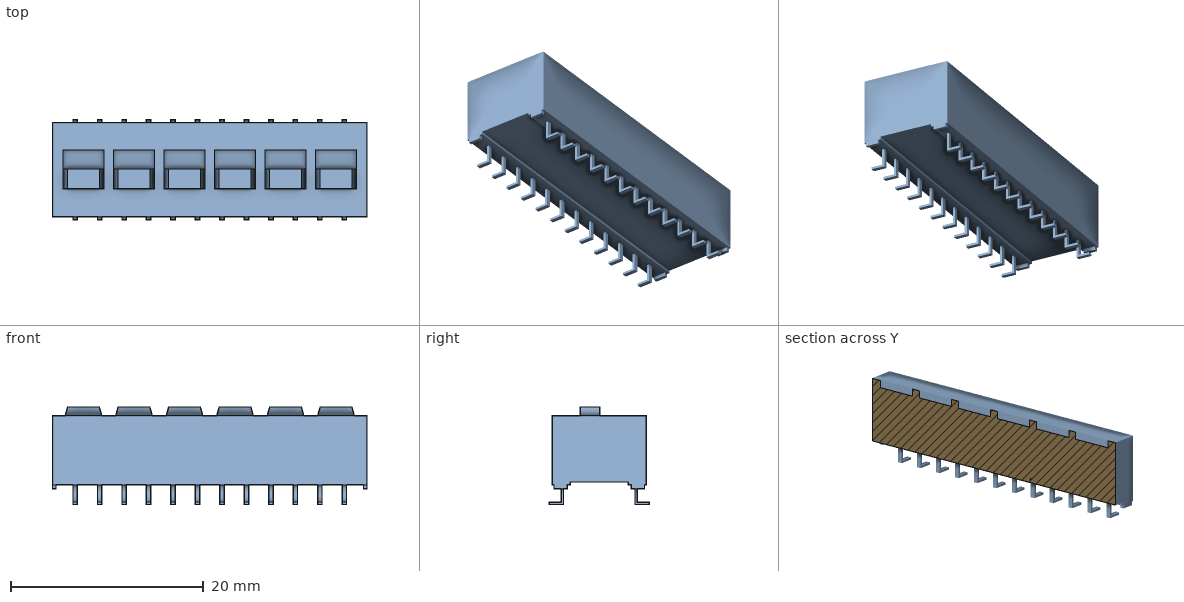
import cadquery as cq

housing_length = 32.66
housing_width = 9.8
housing_bottom = 2.03
housing_top = 9.23
edge_radius = 0.05

channel_width = 6.0
channel_depth = 0.3
foot_length = 0.4
foot_width = 1.4
foot_height = 0.4
foot_side_inset = 0.2

button_count = 6
button_pitch = 5.24
window_length = 4.24
window_width = 4.05
window_depth = 0.53
button_top = 10.13
button_top_length = 3.3
button_side_slope = 0.28
button_width = 2.05
button_gap = 0.05

button_base = button_top - (window_length - button_top_length) / 2 / button_side_slope

leads_per_side = 12
lead_pitch = 2.54
lead_width = 0.48
lead_thickness = 0.25
lead_span = 10.4
lead_foot_length = 1.5
lead_embed = 0.3


def centered_positions(count, pitch):
    """Coordinates of a row of equally spaced items centred on zero."""
    return [(index - (count - 1) / 2) * pitch for index in range(count)]


def make_housing():
    """Box with lightly rounded outer edges and a channel along its underside."""
    height = housing_top - housing_bottom
    housing = (
        cq.Workplane("XY", origin=(0, 0, housing_bottom))
        .box(housing_length, housing_width, height, centered=(True, True, False))
        .edges("|Z or >Z")
        .fillet(edge_radius)
    )
    channel = cq.Workplane("XY", origin=(0, 0, housing_bottom)).box(
        housing_length, channel_width, channel_depth, centered=(True, True, False)
    )
    return housing.cut(channel)


def make_feet():
    """Four standoff feet under the ends of the housing."""
    x_spacing = housing_length - foot_length
    y_spacing = housing_width - 2 * foot_side_inset - foot_width
    return (
        cq.Workplane("XY", origin=(0, 0, housing_bottom))
        .rect(x_spacing, y_spacing, forConstruction=True)
        .vertices()
        .rect(foot_length, foot_width)
        .extrude(-foot_height)
    )


def make_window(x):
    """Cutter: a shallow window in the top face with a deep well around the button."""
    window = cq.Workplane("XY", origin=(x, 0, housing_top)).rect(window_length, window_width)
    well_width = button_width + button_gap
    well_y = (well_width - window_width) / 2
    well = cq.Workplane("XY", origin=(x, well_y, housing_top)).rect(window_length, well_width)
    return window.extrude(-window_depth).union(well.extrude(button_base - housing_top))


def make_button(x):
    """Trapezoidal button whose sloping ends meet the window walls at its base."""
    half_base = window_length / 2
    half_top = button_top_length / 2
    front_y = button_gap - window_width / 2
    return (
        cq.Workplane("XZ", origin=(x, front_y, 0))
        .polyline(
            [
                (-half_base, button_base),
                (half_base, button_base),
                (half_top, button_top),
                (-half_top, button_top),
            ]
        )
        .close()
        .extrude(-button_width)
    )


def make_lead(x, side):
    """L-shaped lead in the +Y row (side = 1) or the -Y row (side = -1)."""
    tip = lead_span / 2
    inner = tip - lead_foot_length
    outer = inner + lead_thickness
    lead_top = housing_bottom + lead_embed
    profile = [
        (inner, 0),
        (tip, 0),
        (tip, lead_thickness),
        (outer, lead_thickness),
        (outer, lead_top),
        (inner, lead_top),
    ]
    return (
        cq.Workplane("YZ", origin=(x, 0, 0))
        .polyline([(side * y, z) for y, z in profile])
        .close()
        .extrude(lead_width / 2, both=True)
    )


result = make_housing().union(make_feet())
for button_x in centered_positions(button_count, button_pitch):
    result = result.cut(make_window(button_x)).union(make_button(button_x))
for lead_x in centered_positions(leads_per_side, lead_pitch):
    for lead_side in (-1, 1):
        result = result.union(make_lead(lead_x, lead_side))